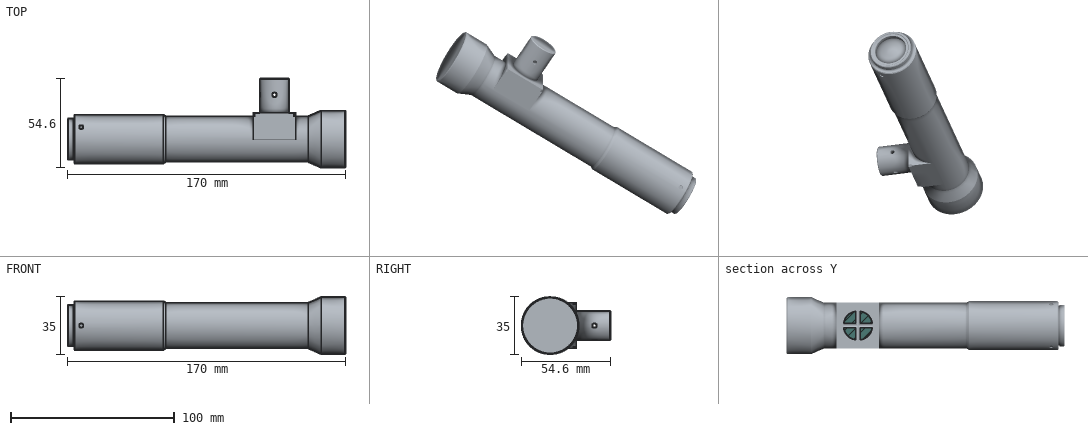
import cadquery as cq

total_length = 169.96

neck_radius = 12.7
neck_length = 3.9
relief_radius = 12.3
relief_width = 0.6
step_radius = 11.0
rim_chamfer = 0.4
lens_bore_depth = 3.4
lens_bore_radius = 9.75
lens_height = 1.9

sleeve_radius = 15.0
sleeve_end = 60.0
sleeve_front_chamfer = 0.5
sleeve_rear_taper = 1.6

tube_radius = 14.0
head_radius = 17.5
flare_start = 147.0
flare_end = 155.0
head_chamfer = 0.5

screw_x = 8.2
screw_radius = 1.3
screw_depth = 0.5
screw_count = 3

block_center_x = 126.4
block_width = 26.0
block_face_y = 16.1
corner_chamfer = 1.1
corner_length = 2.1

port_radius = 9.0
port_end_y = 37.1
port_chamfer = 0.5
port_hole_radius = 1.3
port_hole_to_end = 10.0
port_hole_y = port_end_y - port_hole_to_end


def make_body():
    """Neck, sleeve, tube and flared head, turned about the X axis."""
    profile = (
        cq.Workplane("XY")
        .moveTo(0, 0)
        .lineTo(0, neck_radius - rim_chamfer)
        .lineTo(rim_chamfer, neck_radius)
        .lineTo(neck_length - relief_width, neck_radius)
        .lineTo(neck_length - relief_width, relief_radius)
        .lineTo(neck_length, relief_radius)
        .lineTo(neck_length, sleeve_radius - sleeve_front_chamfer)
        .lineTo(neck_length + sleeve_front_chamfer, sleeve_radius)
        .lineTo(sleeve_end - sleeve_rear_taper, sleeve_radius)
        .lineTo(sleeve_end, tube_radius)
        .lineTo(flare_start, tube_radius)
        .lineTo(flare_end, head_radius)
        .lineTo(total_length - head_chamfer, head_radius)
        .lineTo(total_length, head_radius - head_chamfer)
        .lineTo(total_length, 0)
        .close()
    )
    return profile.revolve(360, (0, 0, 0), (1, 0, 0))


def make_eyepiece_recess():
    """Shallow bevelled step in the neck face, with a deeper bore ending in a convex cone."""
    profile = (
        cq.Workplane("XY")
        .moveTo(0, 0)
        .lineTo(0, step_radius + rim_chamfer)
        .lineTo(rim_chamfer, step_radius)
        .lineTo(rim_chamfer, lens_bore_radius)
        .lineTo(lens_bore_depth, lens_bore_radius)
        .lineTo(lens_bore_depth - lens_height, 0)
        .close()
    )
    return profile.revolve(360, (0, 0, 0), (1, 0, 0))


def make_screw_holes():
    """Blind holes spaced evenly around the sleeve, the first facing -Y."""
    hole_floor = cq.Workplane("XZ", origin=(screw_x, screw_depth - sleeve_radius, 0))
    hole = hole_floor.circle(screw_radius).extrude(2 * screw_depth)
    holes = cq.Workplane()
    for i in range(screw_count):
        holes = holes.add(hole.rotate((0, 0, 0), (1, 0, 0), i * 360 / screw_count))
    return holes.combine()


def make_block():
    """Block from the tube axis out to its +Y face, with bevelled corners next to that face."""
    block_height = 2 * tube_radius
    base_depth = block_face_y - corner_length
    base = cq.Workplane("XY").box(block_width, base_depth, block_height)
    base = base.translate((block_center_x, base_depth / 2, 0))
    cap = cq.Workplane("XY").box(block_width, corner_length, block_height)
    cap = cap.edges("|Y").chamfer(corner_chamfer)
    cap = cap.translate((block_center_x, base_depth + corner_length / 2, 0))
    return base.union(cap)


def port_cross_hole(plane):
    """Pin hole right through the port, square to the given plane."""
    hole_center = cq.Workplane(plane, origin=(block_center_x, port_hole_y, 0))
    return hole_center.circle(port_hole_radius).extrude(port_radius, both=True)


def make_port():
    """Round stem on the block face with two crossing pin holes near its free end."""
    port_base = cq.Workplane("XZ", origin=(block_center_x, block_face_y, 0))
    port = port_base.circle(port_radius).extrude(block_face_y - port_end_y)
    port = port.faces(">Y").chamfer(port_chamfer)
    for plane in ("XY", "YZ"):
        port = port.cut(port_cross_hole(plane))
    return port


result = (
    make_body()
    .union(make_block())
    .cut(make_eyepiece_recess())
    .cut(make_screw_holes())
    .union(make_port())
)